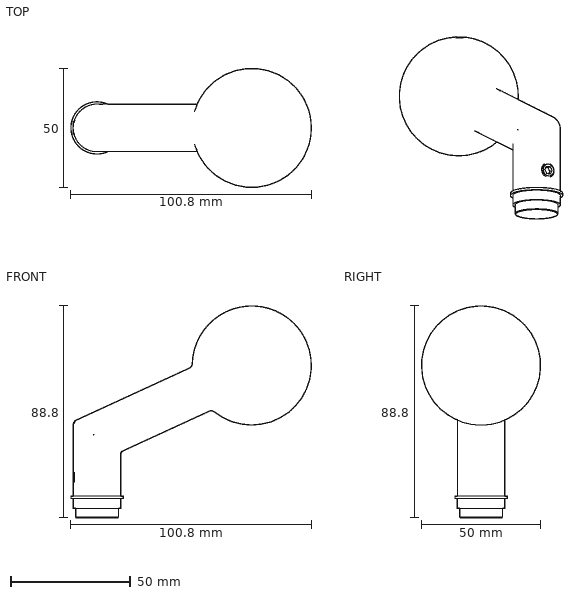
import math

import cadquery as cq

tube_diameter = 20.0
ball_diameter = 50.0
blend_radius = 2.0
smooth_side = 0.1
ball_offset = 64.8
ball_height = 63.8
arm_angle = 24.7

end_diameter = 18.0
end_height = 4.0
end_chamfer = 0.3
shoulder_height = 4.0
ring_diameter = 22.0
ring_height = 1.0
bore_diameter = 18.1

screw_diameter = 6.0
screw_face_diameter = 5.0
face_chamfer_depth = 0.6
screw_length = 5.0
screw_above_ring = 8.0
hex_across_flats = 3.0
hex_depth = 2.0

tube_radius = tube_diameter / 2
ring_bottom = end_height + shoulder_height
tube_bottom = ring_bottom + ring_height
screw_height = tube_bottom + screw_above_ring
bore_depth = 2 * screw_above_ring
rise = math.radians(arm_angle)
arm_direction = (math.cos(rise), 0, math.sin(rise))
arm_length = ball_offset / math.cos(rise)
elbow_height = ball_height - ball_offset * math.tan(rise)
clearance_size = 2 * arm_length


def disc(diameter, bottom, height):
    """Upright cylinder on the post axis."""
    return cq.Workplane("XY", origin=(0, 0, bottom)).circle(diameter / 2).extrude(height)


def screw_plane():
    """Plane at the outer face of the screw, looking inward along +X."""
    return cq.Plane(origin=(-tube_radius, 0, screw_height), xDir=(0, 1, 0), normal=(1, 0, 0))


def screw_envelope():
    """Outer shape of the screw, used for the screw and for the hole that fits it."""
    blank = cq.Workplane(screw_plane()).circle(screw_diameter / 2).extrude(screw_length)
    face_chamfer_width = (screw_diameter - screw_face_diameter) / 2
    return blank.faces("<X").chamfer(face_chamfer_depth, face_chamfer_width)


def make_bent_tube():
    """Post and arm meeting at a mitre, with the mitre rounded on its outer and inner side."""
    elbow = (0, 0, elbow_height)
    post = disc(tube_diameter, tube_bottom, elbow_height + tube_diameter - tube_bottom)
    arm = (
        cq.Workplane(cq.Plane(elbow, xDir=(0, 1, 0), normal=arm_direction))
        .workplane(offset=-tube_diameter)
        .circle(tube_radius)
        .extrude(tube_diameter + arm_length)
    )
    mitre_tilt = (math.pi / 2 + rise) / 2
    mitre_normal = (math.cos(mitre_tilt), 0, math.sin(mitre_tilt))
    arm_side = (
        cq.Workplane(cq.Plane(elbow, xDir=(0, 1, 0), normal=mitre_normal))
        .circle(clearance_size)
        .extrude(clearance_size)
    )
    tube = post.cut(arm_side).union(arm.intersect(arm_side))
    slab_width = tube_diameter - 2 * smooth_side
    slab = cq.Workplane("XY").box(2 * clearance_size, slab_width, 2 * clearance_size)
    mitre_zone = cq.selectors.BoxSelector(
        (-tube_radius, -tube_radius, elbow_height - tube_radius),
        (tube_radius, tube_radius, elbow_height + tube_radius),
    )
    middle = tube.intersect(slab).edges(mitre_zone).edges("%ELLIPSE").fillet(blend_radius)
    return tube.cut(slab).union(middle)


def make_handle():
    """Bent tube carrying the ball, with a socket for the plug and a hole for the screw."""
    ball = cq.Workplane("XY", origin=(ball_offset, 0, ball_height))
    ball = ball.sphere(ball_diameter / 2, direct=arm_direction)
    handle = make_bent_tube().union(ball)
    joint_distance = math.sqrt((ball_diameter / 2) ** 2 - tube_radius ** 2)
    joint_x = ball_offset - joint_distance * math.cos(rise)
    joint_z = ball_height - joint_distance * math.sin(rise)
    joint_zone = cq.selectors.BoxSelector(
        (joint_x - tube_radius, -tube_radius, joint_z - tube_radius),
        (joint_x + tube_radius, tube_radius, joint_z + tube_radius),
    )
    handle = handle.edges(joint_zone).edges("%CIRCLE").fillet(blend_radius)
    return handle.cut(disc(bore_diameter, tube_bottom, bore_depth)).cut(screw_envelope())


def make_ring():
    """Flat ring held between the tube and the shoulder of the plug."""
    ring = disc(ring_diameter, ring_bottom, ring_height)
    return ring.cut(disc(bore_diameter, ring_bottom, ring_height))


def make_plug():
    """Turned plug: lower end, shoulder, and the spigot that fills the socket of the tube."""
    lower_end = disc(end_diameter, 0, end_height).faces("<Z").chamfer(end_chamfer)
    shoulder = disc(tube_diameter, end_height, shoulder_height)
    spigot = disc(end_diameter, ring_bottom, ring_height + bore_depth)
    return lower_end.union(shoulder).union(spigot).cut(screw_envelope())


def make_screw():
    """Hexagon-socket set screw, flush with the outermost line of the tube."""
    hex_across_corners = hex_across_flats / math.cos(math.pi / 6)
    socket = cq.Workplane(screw_plane()).polygon(6, hex_across_corners).extrude(hex_depth)
    return screw_envelope().cut(socket)


handle = make_handle()
ring = make_ring()
plug = make_plug()
screw = make_screw()

bodies = [handle, ring, plug, screw]

result = cq.Compound.makeCompound([body.solids().val() for body in bodies])